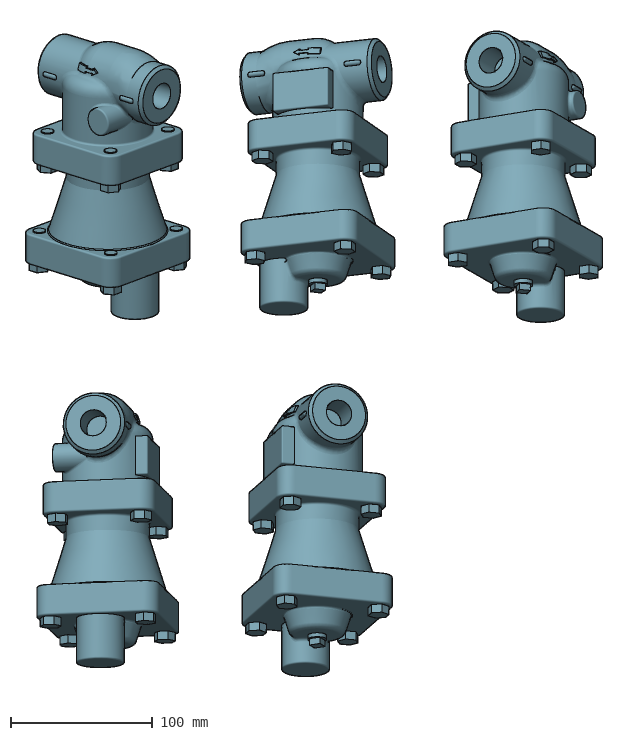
import cadquery as cq
import math


pipe_radius = 44.0 / 2
pipe_z = 167.9
pipe_left = -48.5
pipe_right = 51.5
pipe_chamfer = 2.3
bore_dia = 18.7
bore_depth = 23.4

top_z = 195.0
chamber_z = top_z - pipe_radius
inlet_end = -2.0
chamber_end = 19.5
slope_end = 38.2
slope_steps = 4

body_radius = 64.0 / 2
dome_start = 164.8
dome_fillet = 10.3
body_top = dome_start + dome_fillet
junction_fillet = 3.9

flange_corner = 10.1
flange_edge_fillet = 1.4
root_fillet = 1.5
upper_side = 80.3
upper_bottom = 106.9
upper_top = 129.3
lower_side = 88.0
lower_bottom = 32.4
lower_top = 54.8

upper_pitch = 60.0
lower_pitch = 68.2
bolt_dia = 9.0
tip_height = 0.8
head_flats = 13.0
head_corners = head_flats / math.cos(math.pi / 6)
head_height = 6.0
head_turn = 30.0

neck_radius = 29.5
cone_top = 95.0
cone_base_radius = 41.7
cone_foot = 0.8

bowl_top_radius = 23.4
bowl_bottom_radius = 19.1
bowl_bottom = 18.0
bowl_fillet = 4.9
collar_radius = 6.6
collar_bottom = 15.0
plug_side = 8.2
plug_bottom = 10.3
outlet_radius = 34.0 / 2
outlet_x = 26.0
outlet_edge_fillet = 1.2
outlet_fillet = 2.3

knob_dia = 20.0
knob_x = 21.5
knob_z = 150.0
knob_reach = 33.7
knob_edge_fillet = 1.2
knob_root_fillet = 1.5
plate_width = 42.1
plate_reach = 33.2
plate_bottom = 135.5
plate_top = 163.6
plate_fillet = 1.0
lug_radius = 2.0
lug_y = 21.6
lug_length = 12.9
lug_centres = (-35.1, 38.0)
arrow_z = 180.5
arrow_height = 1.4
arrow_tail_x = -9.8
arrow_shaft_x = -1.2
arrow_head_x = 5.5
arrow_tip_x = 9.5
arrow_half_width = 2.3
shaft_half_width = 1.2


def x_cylinder(radius, x_start, x_end, z):
    plane = cq.Workplane("YZ", origin=(x_start, 0, z))
    return plane.circle(radius).extrude(x_end - x_start)


def z_cylinder(radius, z_start, z_end, x=0, y=0):
    plane = cq.Workplane("XY", origin=(x, y, z_start))
    return plane.circle(radius).extrude(z_end - z_start)


def fillet_nearest(body, radius, *points):
    """Round the edge whose centre is nearest to each of the points."""
    edges = cq.Workplane("XY")
    for point in points:
        edges = edges.add(body.edges(cq.NearestToPointSelector(point)))
    return body.newObject(edges.vals()).fillet(radius)


def make_chamber(radius):
    """Cylinder along X with a ball-shaped left end."""
    start = cq.Workplane("XZ", origin=(0, 0, chamber_z)).moveTo(-radius, 0)
    profile = start.radiusArc((0, radius), radius).lineTo(chamber_end, radius)
    profile = profile.lineTo(chamber_end, 0).close()
    return profile.revolve(360, (0, 0, 0), (1, 0, 0))


def make_slope():
    """Loft of equal circles whose centres drop along a parabola."""
    length = slope_end - chamber_end
    sections = cq.Workplane("YZ", origin=(chamber_end, 0, chamber_z)).circle(pipe_radius)
    previous_drop = 0
    for step in range(1, slope_steps + 1):
        drop = (chamber_z - pipe_z) * (step / slope_steps) ** 2
        sections = sections.workplane(offset=length / slope_steps)
        sections = sections.center(0, previous_drop - drop).circle(pipe_radius)
        previous_drop = drop
    return sections.loft()


def make_upper_body():
    dome = z_cylinder(body_radius, upper_bottom, body_top).faces(">Z").edges().fillet(dome_fillet)
    outlet_pipe = make_chamber(pipe_radius).union(make_slope())
    outlet_pipe = outlet_pipe.union(x_cylinder(pipe_radius, slope_end, pipe_right, pipe_z))
    inlet_pipe = x_cylinder(pipe_radius, pipe_left, inlet_end, pipe_z)
    body = dome.union(outlet_pipe).union(inlet_pipe)
    body = fillet_nearest(body, junction_fillet, (-9.8, 0, 185.2), (-28.3, 0, 152.1), (29.2, -11.7, 156))
    body = body.faces("<X or >X").edges().chamfer(pipe_chamfer)
    return body


def make_flange(side, bottom, top):
    slab = cq.Workplane("XY", origin=(0, 0, bottom)).rect(side, side).extrude(top - bottom)
    slab = slab.edges("|Z").fillet(flange_corner)
    return slab.faces("<Z or >Z").edges().fillet(flange_edge_fillet)


def make_bolts(pitch, flange_bottom, flange_top, turn):
    """Four tips above and hexagon heads below; the heads turn with the square pattern."""
    bolts = cq.Workplane("XY")
    half = pitch / 2
    tip = z_cylinder(bolt_dia / 2, flange_top - tip_height, flange_top + tip_height, half, half)
    head = cq.Workplane("XY").polygon(6, head_corners).extrude(-head_height - tip_height)
    head = head.rotate((0, 0, 0), (0, 0, 1), turn).translate((half, half, flange_bottom + tip_height))
    for quarter in range(4):
        for piece in (tip, head):
            bolts = bolts.add(piece.rotate((0, 0, 0), (0, 0, 1), 90 * quarter))
    return bolts.combine()


def make_cone():
    """Neck and cone, with a small bevel at the foot of the cone."""
    foot_radius = cone_base_radius + cone_foot
    profile = cq.Workplane("XZ").moveTo(0, lower_bottom).lineTo(foot_radius, lower_bottom)
    profile = profile.lineTo(foot_radius, lower_top)
    profile = profile.lineTo(cone_base_radius, lower_top + cone_foot).lineTo(neck_radius, cone_top)
    profile = profile.lineTo(neck_radius, upper_top).lineTo(0, upper_top).close()
    return profile.revolve(360, (0, 0, 0), (0, 1, 0))


def make_bowl_and_outlet():
    profile = cq.Workplane("XZ").moveTo(0, bowl_bottom).lineTo(bowl_bottom_radius, bowl_bottom)
    profile = profile.lineTo(bowl_top_radius, lower_bottom - root_fillet)
    profile = profile.radiusArc((bowl_top_radius + root_fillet, lower_bottom), root_fillet)
    profile = profile.lineTo(bowl_top_radius + root_fillet, lower_top)
    bowl = profile.lineTo(0, lower_top).close().revolve(360, (0, 0, 0), (0, 1, 0))
    bowl = bowl.faces("<Z").edges().fillet(bowl_fillet)
    outlet = z_cylinder(outlet_radius, 0, lower_top, outlet_x)
    both = bowl.union(outlet)
    both = fillet_nearest(both, outlet_fillet, (11.7, 0, 19.5))
    return both.faces("<Z").edges().fillet(outlet_edge_fillet)


def make_drain_plug():
    collar = z_cylinder(collar_radius, collar_bottom, bowl_bottom + collar_radius)
    square = cq.Workplane("XY", origin=(0, 0, plug_bottom)).rect(plug_side, plug_side)
    head = square.extrude(bowl_bottom - plug_bottom).rotate((0, 0, 0), (0, 0, 1), 45)
    return collar.union(head)


def make_knob():
    plane = cq.Workplane("XZ", origin=(knob_x, -knob_reach, knob_z))
    knob = plane.circle(knob_dia / 2).extrude(-knob_reach)
    return knob.faces("<Y").edges().fillet(knob_edge_fillet)


def make_plate():
    height = plate_top - plate_bottom
    plate = cq.Workplane("XY", origin=(0, plate_reach / 2, plate_bottom))
    plate = plate.rect(plate_width, plate_reach).extrude(height)
    return plate.edges("|Y").fillet(plate_fillet).faces(">Y").edges().fillet(plate_fillet)


def make_lug(x, y):
    """Round-ended rod along X, half sunk in the pipe."""
    half_straight = lug_length / 2 - lug_radius
    profile = cq.Workplane("XZ", origin=(x, y, pipe_z)).moveTo(-half_straight - lug_radius, 0)
    profile = profile.radiusArc((-half_straight, lug_radius), lug_radius)
    profile = profile.lineTo(half_straight, lug_radius)
    profile = profile.radiusArc((half_straight + lug_radius, 0), lug_radius).close()
    return profile.revolve(360, (0, 0, 0), (1, 0, 0))


def make_arrows():
    """Flow arrow standing out on both sides of the chamber."""
    upper_half = [
        (arrow_tail_x, arrow_half_width),
        (arrow_shaft_x, arrow_half_width),
        (arrow_shaft_x, shaft_half_width),
        (arrow_head_x, shaft_half_width),
        (arrow_head_x, arrow_half_width),
    ]
    lower_half = [(x, -z) for x, z in reversed(upper_half)]
    outline = upper_half + [(arrow_tip_x, 0)] + lower_half
    plane = cq.Workplane("XZ", origin=(0, 0, arrow_z))
    arrow = plane.polyline(outline).close().extrude(body_radius, both=True)
    return arrow.intersect(make_chamber(pipe_radius + arrow_height))


upper = make_upper_body().union(make_flange(upper_side, upper_bottom, upper_top))
upper = fillet_nearest(upper, root_fillet, (0, 0, upper_top))
upper = fillet_nearest(upper.union(make_knob()), knob_root_fillet, (knob_x, -23.4, knob_z))
upper = upper.union(make_plate()).union(make_arrows())
for lug_x in lug_centres:
    for side_y in (-lug_y, lug_y):
        upper = upper.union(make_lug(lug_x, side_y))

lower = make_flange(lower_side, lower_bottom, lower_top).union(make_bowl_and_outlet())
lower = lower.union(make_drain_plug())

result = upper.union(make_cone())
result = fillet_nearest(result, root_fillet, (0, 0, upper_bottom)).union(lower)
result = result.union(make_bolts(upper_pitch, upper_bottom, upper_top, head_turn))
result = result.union(make_bolts(lower_pitch, lower_bottom, lower_top, 0))

for bore_start in (pipe_left, pipe_right - bore_depth):
    result = result.cut(x_cylinder(bore_dia / 2, bore_start, bore_start + bore_depth, pipe_z))